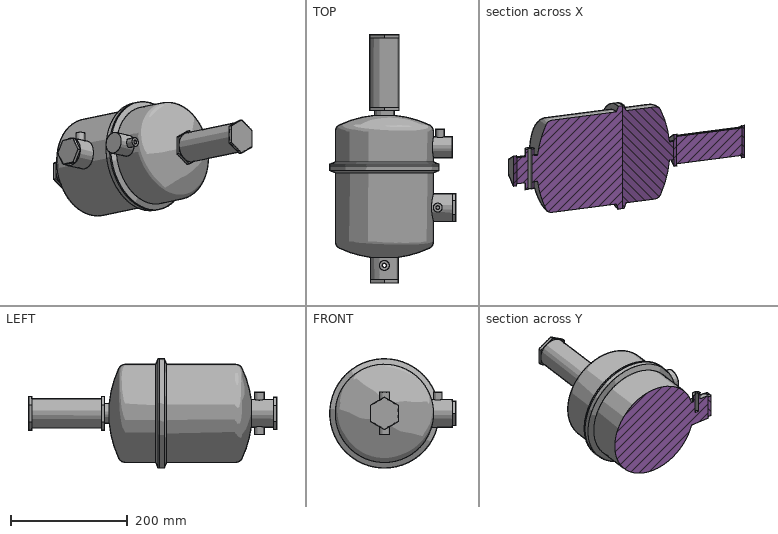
import cadquery as cq
import math


overall_length = 425.0
overall_width = 216.0

body_radius = 84.0
band_diameter = 187.5
band_radius = band_diameter / 2
band_above_seam = 7.0
band_below_seam = 12.0
band_chamfer = 4.0
crown_radius = 180.7
knuckle_radius = 12.8
upper_cylinder_end = 58.5
lower_cylinder_end = 129.5

pipe_diameter = 48.0
pipe_radius = pipe_diameter / 2
cap_thickness = 6.0
bottom_pipe_end = 194.7
side_port_end = overall_width - band_radius - cap_thickness
lower_port_y = -71.5
upper_port_y = 32.0
upper_port_diameter = 36.0
upper_port_radius = upper_port_diameter / 2

nipple_height = 36.5
bottom_nipple_radius = 8.5
bottom_nipple_hole_radius = 3.5
bottom_nipple_y = -170.5
side_nipple_radius = 7.5
side_nipple_hole_radius = 3.2
lower_nipple_x = 91.5
upper_nipple_x = 95.2
upper_nipple_height = 31.0

neck_radius = 17.0
neck_end = 94.5
handle_hex_thickness = 5.5
handle_diameter = 50.5
handle_radius = handle_diameter / 2
handle_end = overall_length - bottom_pipe_end - cap_thickness

X_AXIS = (1, 0, 0)
Y_AXIS = (0, 1, 0)
Z_AXIS = (0, 0, 1)


def rod(start, direction, radius, length):
    """Solid cylinder from a start point along a direction."""
    return cq.Workplane(cq.Solid.makeCylinder(radius, length, cq.Vector(*start), cq.Vector(*direction)))


def hex_plate(start, direction, corner_radius, thickness):
    """Hexagonal plate with two opposite corners along Y or, if it faces along Y, along Z."""
    local_x = Y_AXIS if direction == X_AXIS else Z_AXIS
    plane = cq.Plane(origin=start, xDir=local_x, normal=direction)
    return cq.Workplane(plane).polygon(6, 2 * corner_radius).extrude(thickness)


def circumscribed(flat_radius):
    """Corner radius of a hexagon whose flats touch a circle."""
    return flat_radius / math.cos(math.pi / 6)


def half_shell(cylinder_end, band_width, side):
    """Half vessel: half band at the seam, cylinder and dished end; side is +1 or -1 along Y."""
    crown_center = cylinder_end - math.sqrt(
        (crown_radius - knuckle_radius) ** 2 - (body_radius - knuckle_radius) ** 2
    )
    tangent_angle = math.asin((body_radius - knuckle_radius) / (crown_radius - knuckle_radius))
    knuckle_middle_angle = (tangent_angle + math.pi / 2) / 2

    def on_knuckle(angle):
        return (
            body_radius - knuckle_radius + knuckle_radius * math.sin(angle),
            side * (cylinder_end + knuckle_radius * math.cos(angle)),
        )

    def on_crown(angle):
        return (crown_radius * math.sin(angle), side * (crown_center + crown_radius * math.cos(angle)))

    return (
        cq.Workplane("XY")
        .lineTo(band_radius, 0)
        .lineTo(band_radius, side * (band_width - band_chamfer))
        .lineTo(body_radius, side * band_width)
        .lineTo(body_radius, side * cylinder_end)
        .threePointArc(on_knuckle(knuckle_middle_angle), on_knuckle(tangent_angle))
        .threePointArc(on_crown(tangent_angle / 2), on_crown(0))
        .close()
        .revolve(360, (0, 0, 0), Y_AXIS)
    )


def make_lower_housing():
    shell = half_shell(lower_cylinder_end, band_below_seam, -1)

    nipple_foot = (0, bottom_nipple_y, -nipple_height)
    shell = shell.union(rod((0, 0, 0), (0, -1, 0), pipe_radius, bottom_pipe_end))
    shell = shell.union(rod(nipple_foot, Z_AXIS, bottom_nipple_radius, 2 * nipple_height))
    shell = shell.cut(rod(nipple_foot, Z_AXIS, bottom_nipple_hole_radius, 2 * nipple_height))

    port_start = (0, lower_port_y, 0)
    nipple_start = (lower_nipple_x, lower_port_y, 0)
    shell = shell.union(rod(port_start, X_AXIS, pipe_radius, side_port_end))
    shell = shell.union(rod(nipple_start, Z_AXIS, side_nipple_radius, nipple_height))
    return shell.cut(rod(nipple_start, Z_AXIS, side_nipple_hole_radius, nipple_height))


def make_upper_housing():
    shell = half_shell(upper_cylinder_end, band_above_seam, 1)

    shell = shell.union(rod((0, 0, 0), Y_AXIS, neck_radius, neck_end))

    port_start = (0, upper_port_y, 0)
    nipple_start = (upper_nipple_x, upper_port_y, 0)
    shell = shell.union(rod(port_start, X_AXIS, upper_port_radius, side_port_end))
    shell = shell.union(rod(nipple_start, Y_AXIS, side_nipple_radius, upper_nipple_height))
    return shell.cut(rod(nipple_start, Y_AXIS, side_nipple_hole_radius, upper_nipple_height))


def make_bottom_cap():
    return hex_plate((0, -bottom_pipe_end, 0), (0, -1, 0), circumscribed(pipe_radius), cap_thickness)


def make_side_cap():
    return hex_plate((side_port_end, lower_port_y, 0), X_AXIS, pipe_radius, cap_thickness)


def make_handle_hexes():
    """Hexagonal plates at the two ends of the handle."""
    starts = (neck_end, handle_end - handle_hex_thickness)
    corner_radius = circumscribed(handle_radius)
    return [hex_plate((0, y, 0), Y_AXIS, corner_radius, handle_hex_thickness) for y in starts]


def make_handle_tube():
    start = neck_end + handle_hex_thickness
    return rod((0, start, 0), Y_AXIS, handle_radius, handle_end - handle_hex_thickness - start)


lower_housing = make_lower_housing()
upper_housing = make_upper_housing()
bottom_cap = make_bottom_cap()
side_cap = make_side_cap()
handle_hexes = make_handle_hexes()
handle_tube = make_handle_tube()

result = cq.Compound.makeCompound(
    [
        lower_housing.val(),
        upper_housing.val(),
        bottom_cap.val(),
        side_cap.val(),
        *[plate.val() for plate in handle_hexes],
        handle_tube.val(),
    ]
)